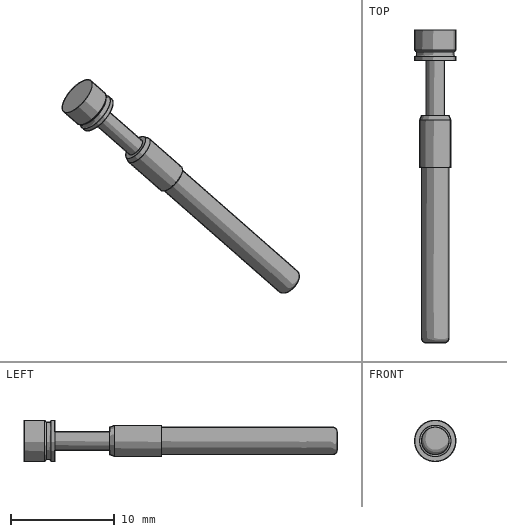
import cadquery as cq
import math

total_length = 30.3

head_radius = 2.0
head_length = 1.97
groove_radius = 1.82
groove_length = 0.6
groove_fillet = 0.12
flange_thickness = 0.4

stem_radius = 0.9
stem_length = 5.3

sleeve_radius = 1.5
sleeve_length = 5.03
taper_radius = 1.33
taper_length = 0.45

barrel_radius = 1.33
cap_length = 2.95
cap_fillet = 0.45

head_top = total_length / 2
groove_top = head_top - head_length
flange_top = groove_top - groove_length
flange_bottom = flange_top - flange_thickness
sleeve_top = flange_bottom - stem_length
sleeve_bottom = sleeve_top - sleeve_length
cap_bottom = -total_length / 2
cap_top = cap_bottom + cap_length

groove_chamfer = head_radius - groove_radius

mid_arc_offset = 1 - math.sqrt(0.5)
groove_fillet_middle = (
    groove_radius + groove_fillet * mid_arc_offset,
    flange_top + groove_fillet * mid_arc_offset,
)
cap_fillet_middle = (
    barrel_radius - cap_fillet * mid_arc_offset,
    cap_bottom + cap_fillet * mid_arc_offset,
)

profile = (
    cq.Workplane("XY")
    .moveTo(0, head_top)
    .lineTo(head_radius, head_top)
    .lineTo(head_radius, groove_top)
    .lineTo(groove_radius, groove_top - groove_chamfer)
    .lineTo(groove_radius, flange_top + groove_fillet)
    .threePointArc(groove_fillet_middle, (groove_radius + groove_fillet, flange_top))
    .lineTo(head_radius, flange_top)
    .lineTo(head_radius, flange_bottom)
    .lineTo(stem_radius, flange_bottom)
    .lineTo(stem_radius, sleeve_top)
    .lineTo(taper_radius, sleeve_top)
    .lineTo(sleeve_radius, sleeve_top - taper_length)
    .lineTo(sleeve_radius, sleeve_bottom)
    .lineTo(barrel_radius, sleeve_bottom)
    .lineTo(barrel_radius, cap_top)
    .lineTo(barrel_radius, cap_bottom + cap_fillet)
    .threePointArc(cap_fillet_middle, (barrel_radius - cap_fillet, cap_bottom))
    .lineTo(0, cap_bottom)
    .close()
)

result = profile.revolve(360, (0, 0), (0, 1), clean=False)